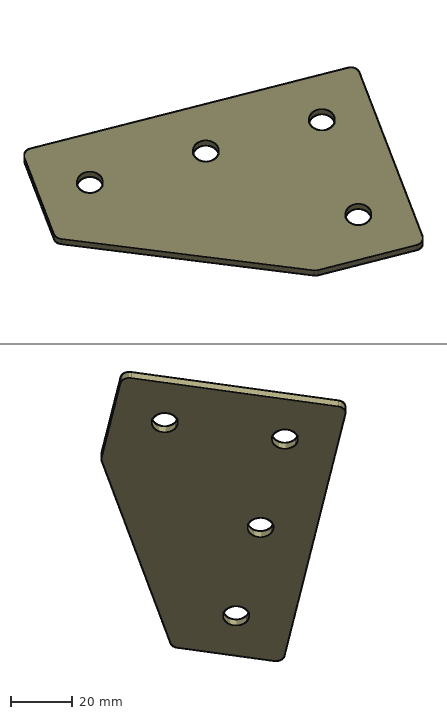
import cadquery as cq

width = 75.0
length = 115.0
thickness = 3.0

bottom_edge_width = 37.0
right_edge_length = 37.5
corner_radius = 3.0

hole_diameter = 8.5
hole_inset = 17.5
hole_pitch = 40.0
column_drift = 0.7
column_count = 3


def plate():
    """Rectangular plate with one long sloped side and rounded corners."""
    outline = [
        (0, 0),
        (bottom_edge_width, 0),
        (width, length - right_edge_length),
        (width, length),
        (0, length),
    ]
    blank = cq.Workplane("XY").polyline(outline).close().extrude(thickness)
    return blank.edges("|Z").fillet(corner_radius)


def hole_centers():
    """A slightly leaning column of holes plus one beside the top hole."""
    top_y = length - hole_inset
    column = [
        (hole_inset + i * column_drift, top_y - i * hole_pitch)
        for i in range(column_count)
    ]
    return column + [(hole_inset + hole_pitch, top_y)]


holes = (
    cq.Workplane("XY")
    .pushPoints(hole_centers())
    .circle(hole_diameter / 2)
    .extrude(thickness)
)
result = plate().cut(holes)